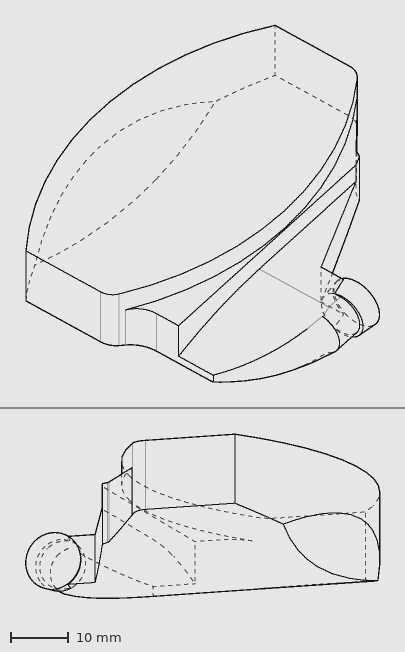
import cadquery as cq
import math

PAD_LENGTH = 70.0
PAD_WIDTH = 40.25
PAD_END_INSET = 11.05
PAD_CORNER_RADIUS = 3.35
PAD_CENTER_X = PAD_WIDTH / 2
HALF_LENGTH = PAD_LENGTH / 2

BODY_DEPTH = 16.7
END_DEPTH = 12.2
BEVEL_SIZE = 7.9

SHELF_DEPTH = 4.3
SHELF_END_X = 40.45
SIDE_Y = -29.9
BLEND_RADIUS = 5.6
SHELF_CORNER = (38.3, 22.75)
SHELF_START = (30.5, 33.1)
SHELF_SHOULDER = (39.6, 22.05)
SHOULDER_RADIUS = 1.1

ARM_TOP_DEPTH = 8.25
ARM_SIDE_TOP_DEPTH = 11.7
ARM_FLAT_END_Y = -7.2
ARM_BACK_Y = -0.3
ARM_BACK_X = 48.6
NOSE_TURN_Y = -9.65
NOSE_PLAN_RADIUS = 40.95
NOSE_RADIUS = (BODY_DEPTH - ARM_TOP_DEPTH) / 2
NOSE_Z = -(BODY_DEPTH + ARM_TOP_DEPTH) / 2
NOSE_CENTER_X = (PAD_CENTER_X
                 + math.sqrt(NOSE_PLAN_RADIUS**2 - NOSE_TURN_Y**2) - NOSE_RADIUS)

COLLAR_LARGE_DIAMETER = 10.0
COLLAR_LARGE_RADIUS = COLLAR_LARGE_DIAMETER / 2
COLLAR_SMALL_RADIUS = 4.55
COLLAR_LENGTH = 4.05
COLLAR_BACK_Y = 0.1
COLLAR_END_X = 61.1
COLLAR_X = COLLAR_END_X - COLLAR_LARGE_RADIUS

OVERLAP_X = 21.0
REACH_X = 63.0


def make_pad():
    """Full-depth block with two bowed sides and two flat ends."""
    right_end_x = PAD_WIDTH - PAD_END_INSET
    return (
        cq.Workplane("XY")
        .moveTo(PAD_END_INSET, -HALF_LENGTH)
        .lineTo(right_end_x, -HALF_LENGTH)
        .threePointArc((PAD_WIDTH, 0), (right_end_x, HALF_LENGTH))
        .lineTo(PAD_END_INSET, HALF_LENGTH)
        .threePointArc((0, 0), (PAD_END_INSET, -HALF_LENGTH))
        .close()
        .extrude(-BODY_DEPTH)
        .edges("|Z")
        .edges(">X")
        .fillet(PAD_CORNER_RADIUS)
    )


def make_base(pad):
    """Pad and shelf below the shelf level, blended where they meet on the -Y side."""
    shelf_end_y = SHELF_SHOULDER[1] - (
        (SHELF_END_X - SHELF_SHOULDER[0]) / (ARM_BACK_X - SHELF_SHOULDER[0])
        * (SHELF_SHOULDER[1] - ARM_BACK_Y)
    )
    shelf = (
        cq.Workplane("XY", origin=(0, 0, -SHELF_DEPTH))
        .polyline([
            (OVERLAP_X, SIDE_Y),
            (SHELF_END_X, SIDE_Y),
            (SHELF_END_X, shelf_end_y),
            SHELF_SHOULDER,
            SHELF_CORNER,
            SHELF_START,
            (OVERLAP_X, SHELF_START[1]),
        ])
        .close()
        .extrude(SHELF_DEPTH - BODY_DEPTH)
        .edges(cq.selectors.NearestToPointSelector((*SHELF_CORNER, NOSE_Z)))
        .fillet(SHOULDER_RADIUS)
    )
    lower_pad = pad.intersect(
        cq.Workplane("XY", origin=(0, 0, -SHELF_DEPTH))
        .rect(2 * REACH_X, 2 * PAD_LENGTH).extrude(-BODY_DEPTH)
    )
    pad_arc_radius = (HALF_LENGTH**2 + PAD_END_INSET**2) / (2 * PAD_END_INSET)
    blend_x = PAD_WIDTH - pad_arc_radius + math.sqrt(pad_arc_radius**2 - SIDE_Y**2)
    return (
        lower_pad.union(shelf)
        .edges(cq.selectors.NearestToPointSelector((blend_x, SIDE_Y, -(SHELF_DEPTH + BODY_DEPTH) / 2)))
        .fillet(BLEND_RADIUS)
    )


def make_arm():
    """Arm whose top falls away toward -Y and whose free edge is fully rounded."""
    drop = ARM_SIDE_TOP_DEPTH - ARM_TOP_DEPTH
    span = ARM_FLAT_END_Y - SIDE_Y
    top_radius = (span**2 + drop**2) / (2 * drop)
    middle_y = ARM_FLAT_END_Y - span / 2
    middle_z = -ARM_TOP_DEPTH - top_radius + math.sqrt(top_radius**2 - (span / 2)**2)
    slab = (
        cq.Workplane("YZ", origin=(OVERLAP_X, 0, 0))
        .moveTo(HALF_LENGTH, -BODY_DEPTH)
        .lineTo(HALF_LENGTH, -ARM_TOP_DEPTH)
        .lineTo(ARM_FLAT_END_Y, -ARM_TOP_DEPTH)
        .threePointArc((middle_y, middle_z), (SIDE_Y, -ARM_SIDE_TOP_DEPTH))
        .lineTo(SIDE_Y, -BODY_DEPTH)
        .close()
        .extrude(REACH_X - OVERLAP_X)
    )
    straight_part = (
        cq.Workplane("XY")
        .polyline([
            (OVERLAP_X, NOSE_TURN_Y),
            (NOSE_CENTER_X, NOSE_TURN_Y),
            (NOSE_CENTER_X, ARM_BACK_Y),
            (ARM_BACK_X, ARM_BACK_Y),
            SHELF_SHOULDER,
            (OVERLAP_X, SHELF_SHOULDER[1]),
        ])
        .close()
        .extrude(-BODY_DEPTH)
    )
    straight_nose = (
        cq.Workplane("XZ", origin=(NOSE_CENTER_X, ARM_BACK_Y, NOSE_Z))
        .circle(NOSE_RADIUS)
        .extrude(ARM_BACK_Y - NOSE_TURN_Y)
    )
    nose_start = NOSE_PLAN_RADIUS - NOSE_RADIUS
    curved_part = (
        cq.Workplane("XZ", origin=(PAD_CENTER_X, 0, NOSE_Z))
        .moveTo(0, -NOSE_RADIUS)
        .lineTo(nose_start, -NOSE_RADIUS)
        .threePointArc((NOSE_PLAN_RADIUS, 0), (nose_start, NOSE_RADIUS))
        .lineTo(0, NOSE_RADIUS)
        .close()
        .revolve(360, (0, 0, 0), (0, 1, 0))
    )
    curved_range = (
        cq.Workplane("XY")
        .moveTo(OVERLAP_X, SIDE_Y)
        .lineTo(REACH_X, SIDE_Y)
        .lineTo(REACH_X, NOSE_TURN_Y)
        .lineTo(OVERLAP_X, NOSE_TURN_Y)
        .close()
        .extrude(-BODY_DEPTH)
    )
    return straight_part.union(straight_nose).union(curved_part.intersect(curved_range)).intersect(slab)


def make_underside_envelope():
    """Space above the crowned underside and the -X bevel."""
    crown = (
        cq.Workplane("YZ")
        .moveTo(-HALF_LENGTH, 0)
        .lineTo(-HALF_LENGTH, -END_DEPTH)
        .threePointArc((0, -BODY_DEPTH), (HALF_LENGTH, -END_DEPTH))
        .lineTo(HALF_LENGTH, 0)
        .close()
        .extrude(REACH_X)
    )
    bevel = (
        cq.Workplane("XZ")
        .polyline([(0, -BODY_DEPTH), (BEVEL_SIZE, -BODY_DEPTH), (0, BEVEL_SIZE - BODY_DEPTH)])
        .close()
        .extrude(HALF_LENGTH, both=True)
    )
    return crown.cut(bevel)


def make_collar():
    """Tapered collar along Y, wide at its +Y face."""
    return cq.Workplane(cq.Solid.makeCone(
        COLLAR_LARGE_RADIUS,
        COLLAR_SMALL_RADIUS,
        COLLAR_LENGTH,
        cq.Vector(COLLAR_X, COLLAR_BACK_Y, NOSE_Z),
        cq.Vector(0, -1, 0),
    ))


collar = make_collar()
pad = make_pad()
housing = (
    pad.union(make_base(pad))
    .union(make_arm())
    .intersect(make_underside_envelope())
    .cut(collar)
)

result = cq.Compound.makeCompound([housing.val(), collar.val()])